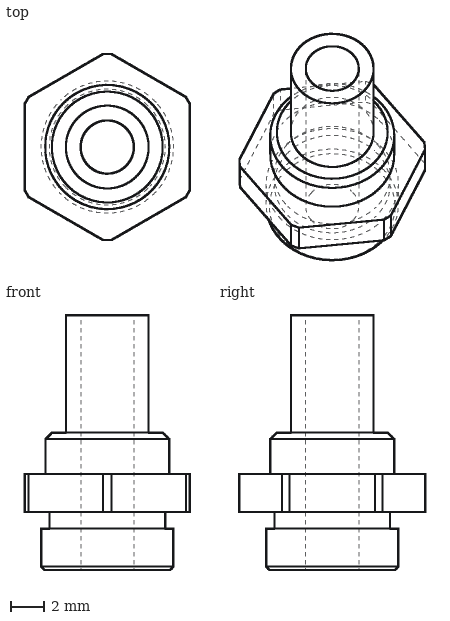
import cadquery as cq

TOTAL_HEIGHT = 15.4
COLLAR_TOP = 2.5
HEX_BOTTOM = 3.5
HEX_TOP = 5.8
SHOULDER_TOP = 8.3

COLLAR_DIAMETER = 8.0
NECK_DIAMETER = 7.0
SHOULDER_DIAMETER = 7.5
TUBE_DIAMETER = 5.0
BORE_DIAMETER = 3.2

HEX_ACROSS_FLATS = 10.0
HEX_CORNER_DIAMETER = 11.25

COLLAR_CHAMFER = 0.2
SHOULDER_CHAMFER = 0.4


def cylinder(diameter, bottom, top):
    """Vertical cylinder centred on the part axis."""
    return cq.Workplane("XY").workplane(offset=bottom).circle(diameter / 2).extrude(top - bottom)


def hex_flange():
    """Hexagon with flats facing +/-X and corners turned down."""
    hexagon = (
        cq.Workplane("XY", origin=(0, 0, HEX_BOTTOM))
        .polygon(6, HEX_ACROSS_FLATS, circumscribed=True)
        .extrude(HEX_TOP - HEX_BOTTOM)
    )
    return hexagon.intersect(cylinder(HEX_CORNER_DIAMETER, HEX_BOTTOM, HEX_TOP))


collar = cylinder(COLLAR_DIAMETER, 0, COLLAR_TOP).faces("<Z").chamfer(COLLAR_CHAMFER)
neck = cylinder(NECK_DIAMETER, COLLAR_TOP, HEX_BOTTOM)
shoulder = cylinder(SHOULDER_DIAMETER, HEX_TOP, SHOULDER_TOP).faces(">Z").chamfer(SHOULDER_CHAMFER)
tube = cylinder(TUBE_DIAMETER, SHOULDER_TOP, TOTAL_HEIGHT)
bore = cylinder(BORE_DIAMETER, 0, TOTAL_HEIGHT)

result = collar.union(neck).union(hex_flange()).union(shoulder).union(tube).cut(bore)